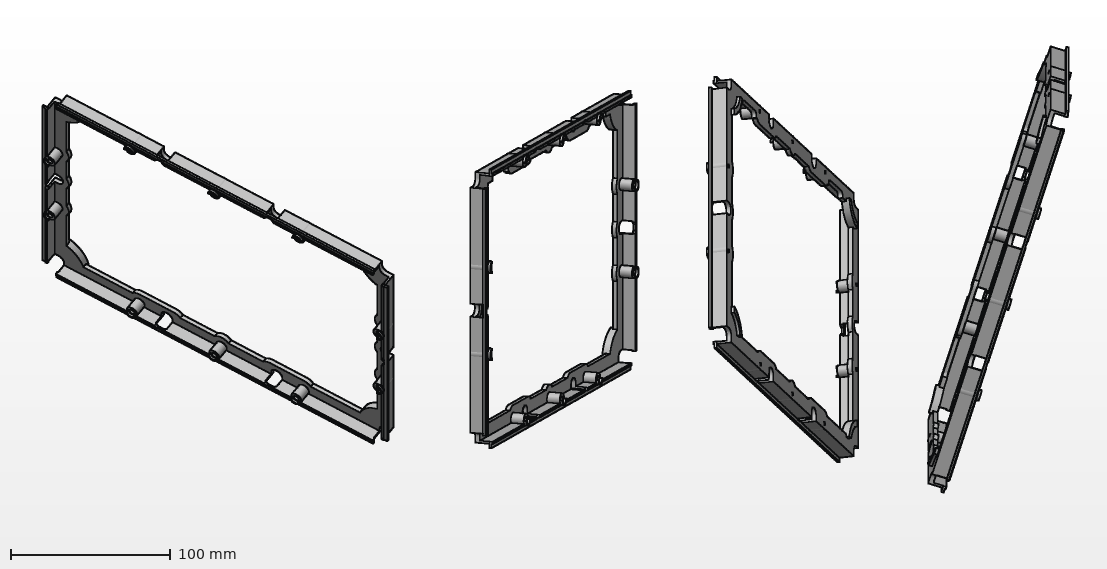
import cadquery as cq
import math

length = 258.8
height = 178.8
half_x = length / 2
half_z = height / 2

rib_back = 7.8
plate_back = 5.7
plate_front = 2.5
flange_back = -4.0
flange_front = -5.5
wall_front = -6.0
boss_front = -7.8

flange_overhang = 2.5
wall_thickness = 1.5
wall_x = half_x - flange_overhang
wall_z = half_z - flange_overhang

notch_x = 118.3
notch_z = 78.7
notch_radius = 4.5
flange_extension = 0.5

opening_x = 116.5
opening_z = 76.9

fixing_inset = 6.2
fixing_x = half_x - fixing_inset
fixing_z = half_z - fixing_inset
side_boss_z = 28.0
top_boss_x = 63.1
bottom_boss_x = 61.5
hole_x = 41.1
hole_radius = 4.1

post_radius = 4.0
lip_outer_radius = 3.5
lip_inner_radius = 2.5
bore_radius = 1.8
pilot_radius = 1.0

gusset_radius = 20.5
rib_width = 4.0

bump_half_width = 5.2
long_bump_height = 2.3
side_bump_height = 1.8
long_bump_end_x = 36.2
bump_root = 1.5

relief_inner_x = 70.0
relief_outer_x = 96.5
relief_z = 80.7
relief_corner_radius = 2.5


def plane(y_back):
    """Workplane at depth y_back whose extrusion runs towards the front."""
    return cq.Workplane("XZ", origin=(0, y_back, 0))


def block(x_range, z_range, y_back, y_front):
    x_low, x_high = sorted(x_range)
    z_low, z_high = sorted(z_range)
    center = ((x_low + x_high) / 2, (z_low + z_high) / 2)
    profile = plane(y_back).center(*center).rect(x_high - x_low, z_high - z_low)
    return profile.extrude(y_back - y_front)


def disc(x, z, radius, y_back, y_front):
    return plane(y_back).center(x, z).circle(radius).extrude(y_back - y_front)


def centered_block(size_x, size_z, y_back, y_front):
    """Block about the Y axis, given by its half sizes."""
    return block((-size_x, size_x), (-size_z, size_z), y_back, y_front)


def corner_notches():
    """Material removed at the four corners, with one rounded inner edge each."""
    notches = cq.Workplane("XZ")
    for side_x in (-1, 1):
        for side_z in (-1, 1):
            notch = block(
                (side_x * notch_x, side_x * half_x),
                (side_z * notch_z, side_z * half_z),
                rib_back,
                boss_front,
            )
            inner_edge = cq.selectors.NearestToPointSelector((side_x * notch_x, 0, side_z * notch_z))
            notches = notches.add(notch.edges("|Y").edges(inner_edge).fillet(notch_radius))
    return notches.combine()


def make_opening():
    """Window through the plate, before the gussets and bumps are put back."""
    opening = centered_block(opening_x, opening_z, plate_back, plate_front)
    for side in (-1, 1):
        relief = block(
            (side * relief_inner_x, side * relief_outer_x),
            (0, relief_z),
            plate_back,
            plate_front,
        )
        opening = opening.union(relief.edges("|Y and >Z").fillet(relief_corner_radius))
    for side_x in (-1, 1):
        for side_z in (-1, 1):
            gusset = disc(side_x * fixing_x, side_z * fixing_z, gusset_radius, plate_back, plate_front)
            opening = opening.cut(gusset)
    return opening


def bump(start, end, edge, rise):
    """Swelling on the edge at height `edge`, with arc ends about `start` and `end`."""
    radius = (rise**2 + bump_half_width**2) / (2 * abs(rise))
    side = math.copysign(1, rise)
    crest = edge + rise
    center = crest - side * radius
    swelling = disc(start, center, radius, plate_back, plate_front)
    if end != start:
        swelling = swelling.union(disc(end, center, radius, plate_back, plate_front))
        swelling = swelling.union(block((start, end), (center, crest), plate_back, plate_front))
    root = edge - side * bump_root
    return swelling.intersect(block((start - radius, end + radius), (root, crest), plate_back, plate_front))


def add_bumps(body):
    for side_z, boss_x in ((1, top_boss_x), (-1, bottom_boss_x)):
        edge = side_z * opening_z
        rise = -side_z * long_bump_height
        for start, end in ((-boss_x, -long_bump_end_x), (0, 0), (long_bump_end_x, boss_x)):
            body = body.union(bump(start, end, edge, rise))
    for z in (-side_boss_z, 0, side_boss_z):
        upright_bump = bump(z, z, opening_x, -side_bump_height)
        right_bump = upright_bump.rotate((0, 0, 0), (0, 1, 0), 90)
        body = body.union(right_bump).union(right_bump.mirror("YZ"))
    return body


def make_frame():
    """Plate, wall and flanges with the notched corners."""
    wall_depth_box = centered_block(wall_x, wall_z, plate_back, wall_front)
    hollow = centered_block(wall_x - wall_thickness, wall_z - wall_thickness, plate_front, wall_front)
    body = wall_depth_box.cut(hollow).cut(make_opening()).cut(corner_notches())
    flange_x = notch_x + flange_extension
    flange_z = notch_z + flange_extension
    for side in (-1, 1):
        inner_x = side * (wall_x - wall_thickness)
        inner_z = side * (wall_z - wall_thickness)
        for y_front, outer_x, outer_z in (
            (flange_front, side * half_x, side * half_z),
            (wall_front, side * wall_x, side * wall_z),
        ):
            body = body.union(block((inner_x, outer_x), (-flange_z, flange_z), flange_back, y_front))
            body = body.union(block((-flange_x, flange_x), (inner_z, outer_z), flange_back, y_front))
    return add_bumps(body)


def corner_rib(side_x, side_z):
    """Curved rib behind a gusset, following its rounded edge."""
    ring = (
        plane(rib_back)
        .center(side_x * fixing_x, side_z * fixing_z)
        .circle(gusset_radius)
        .circle(gusset_radius - rib_width)
        .extrude(rib_back - plate_back)
    )
    return ring.intersect(centered_block(notch_x, notch_z, rib_back, plate_back))


def cut_locating_hole(body, x, z):
    """Hole through plate and wall, with a full-width window in the wall behind the flange."""
    bounds = centered_block(wall_x, wall_z, plate_back, wall_front)
    hole = disc(x, z, hole_radius, plate_back, wall_front).intersect(bounds)
    if z == 0:
        wall_x_range = (x, math.copysign(half_x, x))
        wall_z_range = (-hole_radius, hole_radius)
    else:
        wall_x_range = (x - hole_radius, x + hole_radius)
        wall_z_range = (z, math.copysign(half_z, z))
    window = block(wall_x_range, wall_z_range, plate_back, flange_back)
    return body.cut(hole).cut(window)


def add_boss(body, x, z, on_side_rail):
    """Post with a stepped bore and a half-ring lip; its wall side stands just proud of the wall."""
    post = disc(x, z, post_radius, plate_back, wall_front)
    lip = disc(x, z, lip_outer_radius, wall_front, boss_front)
    lip = lip.cut(disc(x, z, lip_inner_radius, wall_front, boss_front))
    if on_side_rail:
        wall_side = block((x, math.copysign(half_x, x)), (-half_z, half_z), wall_front, boss_front)
    else:
        wall_side = block((-half_x, half_x), (z, math.copysign(half_z, z)), wall_front, boss_front)
    bore = disc(x, z, bore_radius, plate_front, wall_front)
    pilot = disc(x, z, pilot_radius, plate_back, wall_front)
    return body.union(post).union(lip.intersect(wall_side)).cut(bore).cut(pilot)


result = make_frame()

for corner_x in (-1, 1):
    for corner_z in (-1, 1):
        result = result.union(corner_rib(corner_x, corner_z))

for side in (-1, 1):
    result = cut_locating_hole(result, side * fixing_x, 0)
    for hole_side in (-1, 1):
        result = cut_locating_hole(result, hole_side * hole_x, side * fixing_z)
        result = add_boss(result, side * fixing_x, hole_side * side_boss_z, True)

for boss_side in (-1, 0, 1):
    result = add_boss(result, boss_side * top_boss_x, fixing_z, False)
    result = add_boss(result, boss_side * bottom_boss_x, -fixing_z, False)